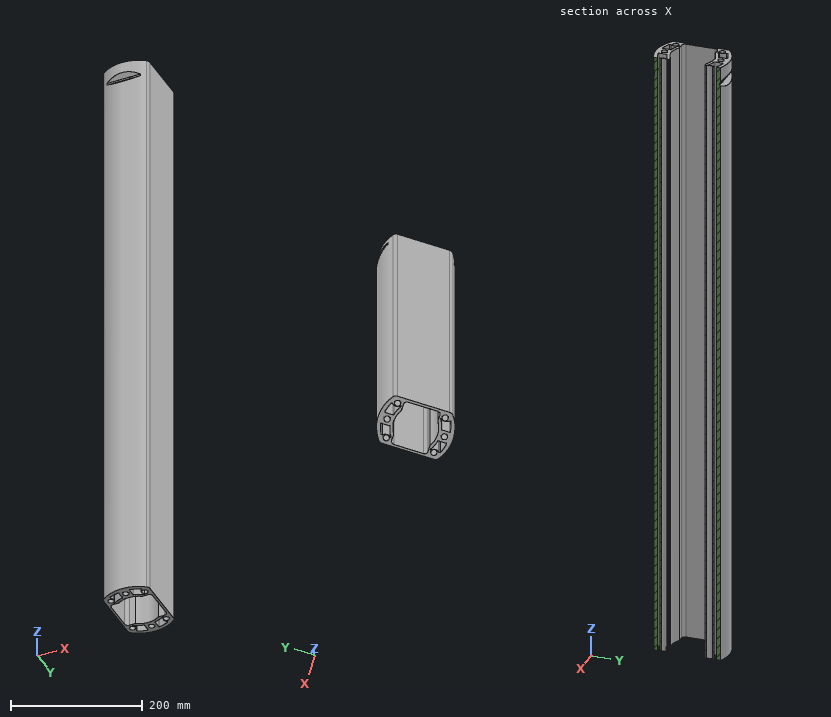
import cadquery as cq
import math

length = 1000.0
width = 78.0
depth = 120.0
corner_radius = 8.0

wall_thickness = 4.0
window_half_depth = 29.0
window_corner_radius = 5.5
arch_radius = 35.0

chamber_centre_y = -6.5
chamber_roof_y = 53.25
chamber_floor_y = 39.25
chamber_inner_x = 9.0
chamber_outer_x = 25.75
chamber_corner_radius = 1.0

centre_port_diameter = 9.5
centre_port_y = 45.75
corner_port_diameter = 9.4
corner_port_x = 28.5
corner_port_y = 38.0
boss_radius = 8.75
boss_x = 32.0
boss_y = 39.0

notch_depth = 7.0
notch_centre_z = 972.0
notch_floor_height = 3.0
notch_mouth_height = notch_floor_height + 2 * notch_depth

half_depth = depth / 2


def cylinder(radius, x=0.0, y=0.0):
    """Full-length round bar parallel to the tube axis."""
    return cq.Workplane("XY").center(x, y).circle(radius).extrude(length)


def block(size_x, size_y, x=0.0, y=0.0):
    """Full-length rectangular bar centred on x, y."""
    return cq.Workplane("XY").center(x, y).rect(size_x, size_y).extrude(length)


def body():
    """Round bar with two flat sides and rounded corners between flat and round."""
    bar = cylinder(half_depth).intersect(block(width, depth))
    return bar.edges("|Z").fillet(corner_radius)


def window():
    """Rounded rectangle with an arch added at each end."""
    opening = block(width - 2 * wall_thickness, 2 * window_half_depth)
    opening = opening.edges("|Z").fillet(window_corner_radius)
    arch_half_width = math.sqrt(arch_radius**2 - window_half_depth**2)
    arches = cylinder(arch_radius).intersect(block(2 * arch_half_width, 2 * arch_radius))
    return opening.union(arches)


def chamber():
    """Curved hollow between the middle rib and the corner boss, on the +X +Y side."""
    roof = cylinder(chamber_roof_y - chamber_centre_y, 0, chamber_centre_y)
    floor = cylinder(chamber_floor_y - chamber_centre_y, 0, chamber_centre_y)
    span_width = chamber_outer_x - chamber_inner_x
    span = block(span_width, half_depth, chamber_inner_x + span_width / 2, half_depth / 2)
    hollow = span.intersect(roof).cut(floor).cut(cylinder(boss_radius, boss_x, boss_y))
    return hollow.edges("|Z").edges("<X").fillet(chamber_corner_radius)


def end_hollows():
    """Both chambers and all three screw ports of the +Y end."""
    one_side = chamber().union(cylinder(corner_port_diameter / 2, corner_port_x, corner_port_y))
    both_sides = one_side.union(one_side.mirror("YZ"))
    return both_sides.union(cylinder(centre_port_diameter / 2, 0, centre_port_y))


def notch():
    """V-shaped notch with a narrow floor across the +Y end face."""
    floor_y = half_depth - notch_depth
    return (
        cq.Workplane("YZ")
        .moveTo(half_depth, notch_centre_z + notch_mouth_height / 2)
        .lineTo(floor_y, notch_centre_z + notch_floor_height / 2)
        .lineTo(floor_y, notch_centre_z - notch_floor_height / 2)
        .lineTo(half_depth, notch_centre_z - notch_mouth_height / 2)
        .close()
        .extrude(width / 2, both=True)
    )


result = body().cut(window())
for tool in (end_hollows(), notch()):
    result = result.cut(tool).cut(tool.mirror("XZ"))